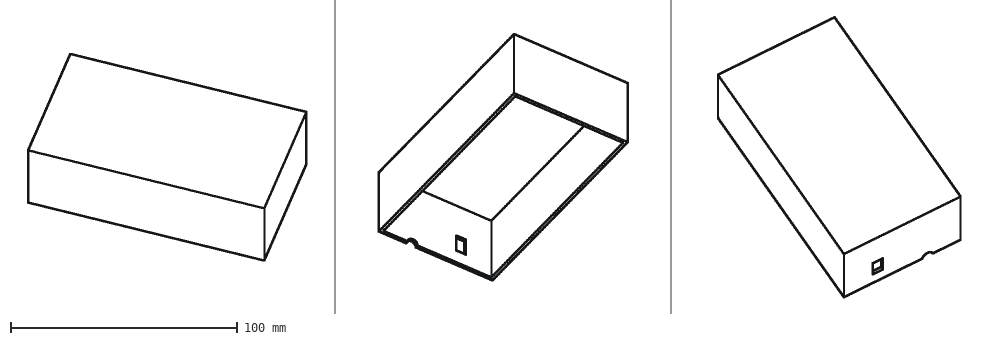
import cadquery as cq

length = 110.0
width = 60.0
height = 35.0
wall = 1.5

window_width = 5.2
window_height = 8.8
window_sill = 7.0
window_y = 12.5

notch_radius = 2.5
notch_y = -13.0

end_wall_x = -length / 2 + wall / 2
cutter_length = 2 * wall


def hollow_cover():
    """Thin-walled box with a closed top and an open bottom."""
    outer = cq.Workplane("XY").box(length, width, height, centered=(True, True, False))
    return outer.faces("<Z").shell(-wall)


def window_cutter():
    """Block that passes through the -X end wall only."""
    return (
        cq.Workplane("XY")
        .box(cutter_length, window_width, window_height)
        .translate((end_wall_x, window_y, window_sill + window_height / 2))
    )


def notch_cutter():
    """Cylinder along X, centred on the bottom edge of the -X end wall."""
    return (
        cq.Workplane("YZ")
        .circle(notch_radius)
        .extrude(cutter_length / 2, both=True)
        .translate((end_wall_x, notch_y, 0))
    )


result = hollow_cover().cut(window_cutter()).cut(notch_cutter())